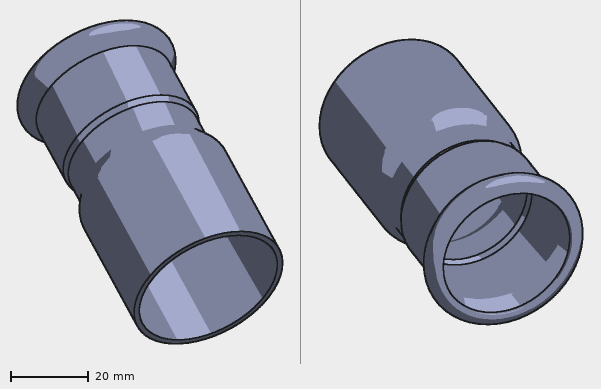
import cadquery as cq
import math

LENGTH = 77.0
WALL = 1.5

BEAD_RADIUS = 44.3 / 2
SOCKET_RADIUS = 38.4 / 2
NECK_RADIUS = 37.0 / 2
SPIGOT_RADIUS = 42.0 / 2

MOUTH_BORE = 35.9 / 2
SOCKET_BORE = 35.3 / 2
NECK_BORE = NECK_RADIUS - WALL
SPIGOT_BORE = SPIGOT_RADIUS - WALL

BEAD_ARC = 2 * WALL
BEAD_SLOPE = math.radians(35)
LIP_ROUND = 0.4

STEP_START = 25.95
STEP_END = 27.7

FLARE_START = 36.0
FLARE_SLOPE = math.radians(30)
FLARE_ROOT_ARC = 0.5
FLARE_CREST_ARC = 5.1


def on_circle(center, radius, angle):
    """Point on a circle, with the angle measured from the radial direction toward +X."""
    return (center[0] + radius * math.sin(angle), center[1] + radius * math.cos(angle))


bead_center = (BEAD_ARC, BEAD_RADIUS - BEAD_ARC)
bead_tangent = on_circle(bead_center, BEAD_ARC, BEAD_SLOPE)
socket_start = bead_tangent[0] + (bead_tangent[1] - SOCKET_RADIUS) / math.tan(BEAD_SLOPE)

bend_radial = SOCKET_BORE + WALL
bend_center = (socket_start + (SOCKET_RADIUS - bend_radial) / math.tan(BEAD_SLOPE), bend_radial)

root_center = (FLARE_START, NECK_RADIUS + FLARE_ROOT_ARC)
root_end_angle = math.pi - FLARE_SLOPE
root_tangent = on_circle(root_center, FLARE_ROOT_ARC, root_end_angle)
crest_radial = SPIGOT_RADIUS - FLARE_CREST_ARC
crest_rise = crest_radial + FLARE_CREST_ARC * math.cos(FLARE_SLOPE) - root_tangent[1]
crest_x = root_tangent[0] + crest_rise / math.tan(FLARE_SLOPE) + FLARE_CREST_ARC * math.sin(FLARE_SLOPE)
crest_center = (crest_x, crest_radial)


def add_arc(path, center, radius, start_angle, end_angle):
    """Continue the path to the arc's start, then along the arc."""
    start = on_circle(center, radius, start_angle)
    middle = on_circle(center, radius, (start_angle + end_angle) / 2)
    end = on_circle(center, radius, end_angle)
    return path.lineTo(*start).threePointArc(middle, end)


def add_outer_wall(path):
    """Outer surface from the mouth face to the spigot end."""
    path = path.lineTo(0, bead_center[1])
    middle = on_circle(bead_center, BEAD_ARC, (BEAD_SLOPE - math.pi / 2) / 2)
    path = path.threePointArc(middle, bead_tangent)
    path = path.lineTo(socket_start, SOCKET_RADIUS).lineTo(STEP_START, SOCKET_RADIUS)
    path = path.lineTo(STEP_END, NECK_RADIUS)
    path = add_arc(path, root_center, FLARE_ROOT_ARC, math.pi, root_end_angle)
    path = add_arc(path, crest_center, FLARE_CREST_ARC, -FLARE_SLOPE, 0)
    return path.lineTo(LENGTH, SPIGOT_RADIUS)


def add_inner_wall(path):
    """Inner surface from the spigot end back to the rear of the mouth lip."""
    path = path.lineTo(LENGTH, SPIGOT_BORE)
    path = add_arc(path, crest_center, FLARE_CREST_ARC - WALL, 0, -FLARE_SLOPE)
    path = add_arc(path, root_center, FLARE_ROOT_ARC + WALL, root_end_angle, math.pi)
    path = path.lineTo(STEP_END, NECK_BORE).lineTo(STEP_START, SOCKET_BORE)
    path = add_arc(path, bend_center, WALL, math.pi, math.pi + BEAD_SLOPE)
    return add_arc(path, bead_center, BEAD_ARC - WALL, BEAD_SLOPE, -math.pi / 2)


def add_lip(path):
    """Rounded edge of the mouth, from its rear face to its front face."""
    radial = MOUTH_BORE + LIP_ROUND
    path = add_arc(path, (WALL - LIP_ROUND, radial), LIP_ROUND, math.pi / 2, math.pi)
    return add_arc(path, (LIP_ROUND, radial), LIP_ROUND, math.pi, 3 * math.pi / 2)


path = cq.Workplane("XY").moveTo(0, MOUTH_BORE + LIP_ROUND)
path = add_outer_wall(path)
path = add_inner_wall(path)
path = add_lip(path)
result = path.close().revolve(360, (0, 0, 0), (1, 0, 0))